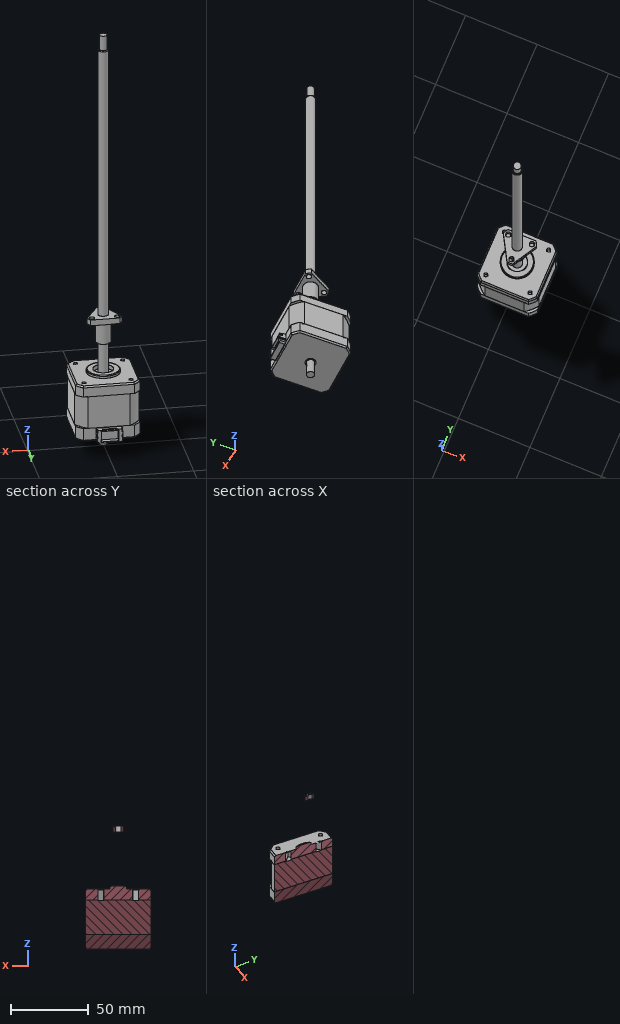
import cadquery as cq
import math

MOTOR_BOTTOM = 12.2
REAR_CAP_TOP = 21.5
FRONT_CAP_BOTTOM = 43.7
MOTOR_TOP = 51.2
NUT_BOTTOM = 72.7
FLANGE_BOTTOM = 87.7
NUT_TOP = 91.8
THREAD_TOP = 279.3
SHAFT_TOP = 289.5

MOTOR_WIDTH = 42.3
CAP_CORNER_RADIUS = 27.0
STATOR_CORNER_RADIUS = 25.2
EDGE_CHAMFER = 1.0

BOSS_RADIUS = 11.0
BOSS_HEIGHT = 2.0
BOSS_CHAMFER = 0.5
BOSS_BORE_RADIUS = 6.7
BOSS_BORE_DEPTH = 3.0

MOUNT_SPACING = 31.0
MOUNT_HOLE_DIAMETER = 2.5
MOUNT_HOLE_DEPTH = 4.3

POCKET_COUNT = 8
POCKET_INNER = 13.3
POCKET_OUTER = 16.0
POCKET_WIDTH = 5.2
POCKET_SKIN = 1.0

THREAD_RADIUS = 3.5
SHAFT_RADIUS = 2.5
THREAD_CHAMFER = 0.5

NUT_RADIUS = 5.2
FLANGE_RADIUS = 12.5
FLANGE_FLAT_DISTANCE = 7.8
FLANGE_HOLE_CIRCLE = 9.5
FLANGE_HOLE_DIAMETER = 3.5
FLANGE_CORNERS = 3

CONNECTOR_WIDTH = 16.8
CONNECTOR_DEPTH = 4.0
CONNECTOR_TOP = 21.0
SOCKET_WALL = 1.0
SOCKET_SIDE_WALL = 2.5
SOCKET_DEPTH = 3.2
GROOVE_BOTTOM = 15.5
GROOVE_HEIGHT = 1.0
GROOVE_DEPTH = 0.5
NOTCH_LENGTH = 1.7
NOTCH_HEIGHT = 1.7
KEY_WIDTH = 9.3
KEY_DEPTH = 0.5


def cylinder(radius, bottom, top):
    return cq.Workplane("XY").workplane(offset=bottom).circle(radius).extrude(top - bottom)


def block(x_size, y_size, bottom, top):
    """Rectangular block centred on the axis in X and Y."""
    return cq.Workplane("XY").workplane(offset=bottom).rect(x_size, y_size).extrude(top - bottom)


def motor_section(corner_radius, bottom, top):
    """Square block whose corners are turned to a radius about the axis."""
    square = block(MOTOR_WIDTH, MOTOR_WIDTH, bottom, top)
    return square.intersect(cylinder(corner_radius, bottom, top))


def make_front_cap():
    cap = motor_section(CAP_CORNER_RADIUS, FRONT_CAP_BOTTOM, MOTOR_TOP)
    cap = cap.faces(">Z").chamfer(EDGE_CHAMFER)
    boss_top = MOTOR_TOP + BOSS_HEIGHT
    boss = cylinder(BOSS_RADIUS, MOTOR_TOP, boss_top).faces(">Z").chamfer(BOSS_CHAMFER)
    bore = cylinder(BOSS_BORE_RADIUS, boss_top - BOSS_BORE_DEPTH, boss_top)
    mount_holes = (
        cq.Workplane("XY")
        .workplane(offset=MOTOR_TOP - MOUNT_HOLE_DEPTH)
        .rect(MOUNT_SPACING, MOUNT_SPACING, forConstruction=True)
        .vertices()
        .circle(MOUNT_HOLE_DIAMETER / 2)
        .extrude(MOUNT_HOLE_DEPTH)
    )
    pockets = (
        cq.Workplane("XY")
        .workplane(offset=FRONT_CAP_BOTTOM)
        .polarArray((POCKET_INNER + POCKET_OUTER) / 2, 0, 360, POCKET_COUNT)
        .rect(POCKET_OUTER - POCKET_INNER, POCKET_WIDTH)
        .extrude(MOTOR_TOP - POCKET_SKIN - FRONT_CAP_BOTTOM)
    )
    shaft_hole = cylinder(THREAD_RADIUS, FRONT_CAP_BOTTOM, MOTOR_TOP)
    return cap.union(boss).cut(bore).cut(mount_holes).cut(pockets).cut(shaft_hole)


def make_stator():
    stator = motor_section(STATOR_CORNER_RADIUS, REAR_CAP_TOP, FRONT_CAP_BOTTOM)
    return stator.cut(cylinder(THREAD_RADIUS, REAR_CAP_TOP, FRONT_CAP_BOTTOM))


def make_rear_cap():
    cap = motor_section(CAP_CORNER_RADIUS, MOTOR_BOTTOM, REAR_CAP_TOP)
    cap = cap.faces("<Z").chamfer(EDGE_CHAMFER)
    return cap.cut(cylinder(THREAD_RADIUS, MOTOR_BOTTOM, REAR_CAP_TOP))


def make_connector():
    inner_y = MOTOR_WIDTH / 2
    outer_y = inner_y + CONNECTOR_DEPTH
    housing = block(CONNECTOR_WIDTH, CONNECTOR_DEPTH, MOTOR_BOTTOM, CONNECTOR_TOP)
    housing = housing.translate((0, (inner_y + outer_y) / 2, 0))
    housing = housing.edges("|Y and <Z").chamfer(EDGE_CHAMFER)

    socket = block(
        CONNECTOR_WIDTH - 2 * SOCKET_SIDE_WALL,
        SOCKET_DEPTH,
        MOTOR_BOTTOM + SOCKET_WALL,
        CONNECTOR_TOP - SOCKET_WALL,
    ).translate((0, outer_y - SOCKET_DEPTH / 2, 0))
    housing = housing.cut(socket)

    groove = block(2 * GROOVE_DEPTH, CONNECTOR_DEPTH, GROOVE_BOTTOM, GROOVE_BOTTOM + GROOVE_HEIGHT)
    notch = block(2 * GROOVE_DEPTH, NOTCH_LENGTH, CONNECTOR_TOP - NOTCH_HEIGHT, CONNECTOR_TOP)
    for side_x in (-CONNECTOR_WIDTH / 2, CONNECTOR_WIDTH / 2):
        housing = housing.cut(groove.translate((side_x, (inner_y + outer_y) / 2, 0)))
        housing = housing.cut(notch.translate((side_x, outer_y - NOTCH_LENGTH / 2, 0)))

    key = block(KEY_WIDTH, NOTCH_LENGTH, CONNECTOR_TOP - KEY_DEPTH, CONNECTOR_TOP)
    return housing.cut(key.translate((0, outer_y - NOTCH_LENGTH / 2, 0)))


def make_screw():
    thread = cylinder(THREAD_RADIUS, MOTOR_BOTTOM, THREAD_TOP).faces(">Z").chamfer(THREAD_CHAMFER)
    return thread.union(cylinder(SHAFT_RADIUS, 0, SHAFT_TOP))


def make_nut():
    """Flanged nut: a rounded triangle, one corner toward -Y, on top of a round barrel."""
    triangle = (
        cq.Workplane("XY")
        .workplane(offset=FLANGE_BOTTOM)
        .transformed(rotate=(0, 0, -90))
        .polygon(FLANGE_CORNERS, 2 * FLANGE_FLAT_DISTANCE / math.cos(math.pi / FLANGE_CORNERS))
        .extrude(NUT_TOP - FLANGE_BOTTOM)
    )
    flange = triangle.intersect(cylinder(FLANGE_RADIUS, FLANGE_BOTTOM, NUT_TOP))
    holes = (
        cq.Workplane("XY")
        .workplane(offset=FLANGE_BOTTOM)
        .polarArray(FLANGE_HOLE_CIRCLE, -90, 360, FLANGE_CORNERS)
        .circle(FLANGE_HOLE_DIAMETER / 2)
        .extrude(NUT_TOP - FLANGE_BOTTOM)
    )
    barrel = cylinder(NUT_RADIUS, NUT_BOTTOM, FLANGE_BOTTOM)
    return flange.cut(holes).union(barrel).cut(cylinder(THREAD_RADIUS, NUT_BOTTOM, NUT_TOP))


front_cap = make_front_cap()
stator = make_stator()
rear_cap = make_rear_cap()
connector = make_connector()
screw = make_screw()
nut = make_nut()

result = cq.Compound.makeCompound(
    [front_cap.val(), stator.val(), rear_cap.val(), connector.val(), screw.val(), nut.val()]
)